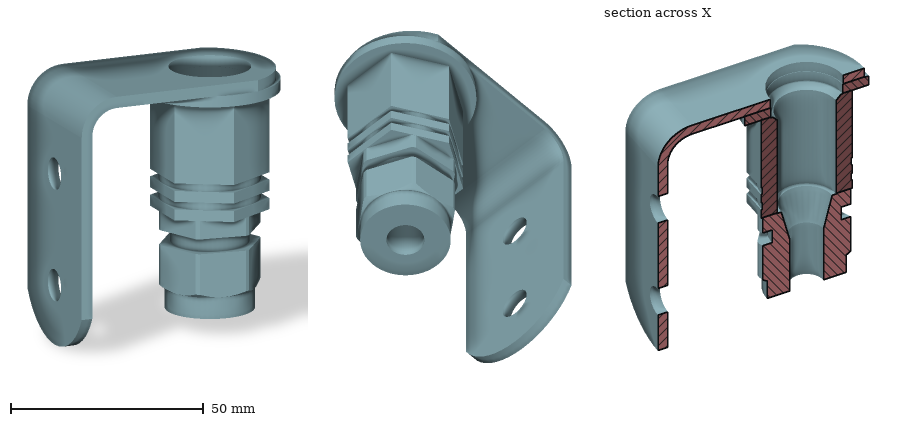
import cadquery as cq
import math


STRIP_WIDTH = 34.95
STRIP_THICKNESS = 3.0
BRACKET_HEIGHT = 69.9
AXIS_TO_FRONT = 44.0
AXIS_TO_BACK = 17.0
BEND_OUTER_RADIUS = 10.0
END_ARC_HEIGHT = 11.0
BRACKET_BORE = 21.5
SCREW_HOLE = 8.5
UPPER_SCREW_DEPTH = 24.0
SCREW_SPACING = 30.0
SCREW_COUNT = 2

FLANGE_DIAMETER = 36.8
FLANGE_THICKNESS = 3.0
FLANGE_BORE = 21.2
FLANGE_TOP = -STRIP_THICKNESS
FLANGE_BOTTOM = FLANGE_TOP - FLANGE_THICKNESS

SLEEVE_FLATS = 27.0
SLEEVE_BOTTOM = -38.0
SLEEVE_BORE = 17.3
SLEEVE_MOUTH = 20.3
MOUTH_DEPTH = (SLEEVE_MOUTH - SLEEVE_BORE) / 2
GROOVE_DIAMETER = 26.5
GROOVE_WIDTH = 2.0
LAND_WIDTH = 2.95
GROOVE_COUNT = 2

GLAND_FLATS = 24.0
GLAND_CORNERS = 27.05
GLAND_TURN = 22.8
GLAND_HEX_HEIGHT = 4.95
NECK_DIAMETER = 20.55
NECK_HEIGHT = 4.0
NUT_HEIGHT = 12.0
NUT_CHAMFER_HEIGHT = 1.1
TAIL_DIAMETER = 23.5
TAIL_HEIGHT = 5.8
GLAND_MOUTH = 14.95
GLAND_BORE = 9.85
GLAND_FUNNEL_DEPTH = 10.0


def cylinder(diameter, top, height):
    return cq.Workplane("XY").workplane(offset=top).circle(diameter / 2).extrude(-height)


def cone(top_diameter, bottom_diameter, top, height):
    solid = cq.Solid.makeCone(
        bottom_diameter / 2, top_diameter / 2, height, cq.Vector(0, 0, top - height)
    )
    return cq.Workplane(obj=solid)


def hexagon(across_flats, top, height):
    """Hexagonal prism with two of its corners on the X axis."""
    corner_circle = across_flats / math.cos(math.radians(30))
    return cq.Workplane("XY").workplane(offset=top).polygon(6, corner_circle).extrude(-height)


def round_ended_leg(plane, start, tip):
    """Outline of a leg, running from start to its rounded tip along the second plane axis."""
    half_width = STRIP_WIDTH / 2
    shoulder = tip - math.copysign(END_ARC_HEIGHT, tip - start)
    return (
        cq.Workplane(plane)
        .moveTo(-half_width, start)
        .lineTo(-half_width, shoulder)
        .threePointArc((0, tip), (half_width, shoulder))
        .lineTo(half_width, start)
        .close()
    )


def make_bracket():
    front = -AXIS_TO_FRONT
    bend_inner_radius = BEND_OUTER_RADIUS - STRIP_THICKNESS
    leg_start_y = front + BEND_OUTER_RADIUS
    top_leg = round_ended_leg("XY", leg_start_y, AXIS_TO_BACK).extrude(-STRIP_THICKNESS)
    front_leg = (
        round_ended_leg("XZ", -BEND_OUTER_RADIUS, -BRACKET_HEIGHT)
        .extrude(-STRIP_THICKNESS)
        .translate((0, front, 0))
    )
    quarter = math.sqrt(0.5)
    outer_mid = (leg_start_y - BEND_OUTER_RADIUS * quarter, BEND_OUTER_RADIUS * (quarter - 1))
    inner_mid = (
        leg_start_y - bend_inner_radius * quarter,
        bend_inner_radius * quarter - BEND_OUTER_RADIUS,
    )
    bend = (
        cq.Workplane("YZ")
        .moveTo(leg_start_y, 0)
        .threePointArc(outer_mid, (front, -BEND_OUTER_RADIUS))
        .lineTo(front + STRIP_THICKNESS, -BEND_OUTER_RADIUS)
        .threePointArc(inner_mid, (leg_start_y, -STRIP_THICKNESS))
        .close()
        .extrude(STRIP_WIDTH / 2, both=True)
    )
    bracket = top_leg.union(bend).union(front_leg)
    bracket = bracket.cut(cylinder(BRACKET_BORE, 0, STRIP_THICKNESS))
    for hole in range(SCREW_COUNT):
        depth = UPPER_SCREW_DEPTH + hole * SCREW_SPACING
        screw_hole = (
            cq.Workplane("XZ", origin=(0, front, -depth))
            .circle(SCREW_HOLE / 2)
            .extrude(-STRIP_THICKNESS)
        )
        bracket = bracket.cut(screw_hole)
    return bracket


def make_flange():
    disc = cylinder(FLANGE_DIAMETER, FLANGE_TOP, FLANGE_THICKNESS)
    return disc.cut(cylinder(FLANGE_BORE, FLANGE_TOP, FLANGE_THICKNESS))


def make_sleeve():
    length = FLANGE_BOTTOM - SLEEVE_BOTTOM
    sleeve = hexagon(SLEEVE_FLATS, FLANGE_BOTTOM, length)
    for groove in range(GROOVE_COUNT):
        top = SLEEVE_BOTTOM + (groove + 1) * (LAND_WIDTH + GROOVE_WIDTH)
        waste = hexagon(SLEEVE_FLATS, top, GROOVE_WIDTH).cut(
            cylinder(GROOVE_DIAMETER, top, GROOVE_WIDTH)
        )
        sleeve = sleeve.cut(waste)
    sleeve = sleeve.cut(cylinder(SLEEVE_BORE, FLANGE_BOTTOM, length))
    return sleeve.cut(cone(SLEEVE_MOUTH, SLEEVE_BORE, FLANGE_BOTTOM, MOUTH_DEPTH))


def gland_hexagon(top, height):
    """Hexagon of the gland with its corners rounded off."""
    return hexagon(GLAND_FLATS, top, height).intersect(cylinder(GLAND_CORNERS, top, height))


def make_gland():
    neck_top = SLEEVE_BOTTOM - GLAND_HEX_HEIGHT
    nut_top = neck_top - NECK_HEIGHT
    tail_top = nut_top - NUT_HEIGHT
    length = SLEEVE_BOTTOM - tail_top + TAIL_HEIGHT
    chamfer_top = tail_top + NUT_CHAMFER_HEIGHT
    nut_envelope = cylinder(GLAND_CORNERS, nut_top, NUT_HEIGHT - NUT_CHAMFER_HEIGHT).union(
        cone(GLAND_CORNERS, GLAND_FLATS, chamfer_top, NUT_CHAMFER_HEIGHT)
    )
    gland = (
        gland_hexagon(SLEEVE_BOTTOM, GLAND_HEX_HEIGHT)
        .union(cylinder(NECK_DIAMETER, neck_top, NECK_HEIGHT))
        .union(gland_hexagon(nut_top, NUT_HEIGHT).intersect(nut_envelope))
        .union(cylinder(TAIL_DIAMETER, tail_top, TAIL_HEIGHT))
    )
    gland = gland.cut(cylinder(GLAND_BORE, SLEEVE_BOTTOM, length))
    gland = gland.cut(cone(GLAND_MOUTH, GLAND_BORE, SLEEVE_BOTTOM, GLAND_FUNNEL_DEPTH))
    return gland.rotate((0, 0, 0), (0, 0, 1), GLAND_TURN)


bracket = make_bracket()
flange = make_flange()
sleeve = make_sleeve()
gland = make_gland()

result = cq.Compound.makeCompound([bracket.val(), flange.val(), sleeve.val(), gland.val()])